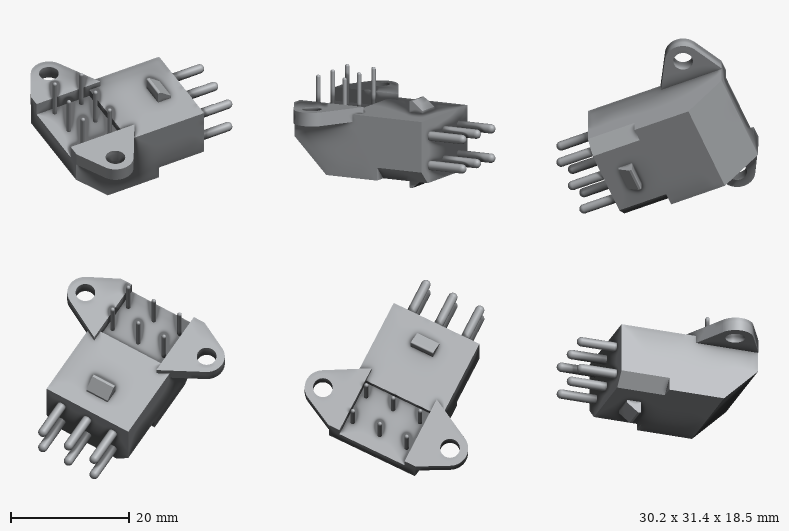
import cadquery as cq
import math


pitch = 5.08
columns = (-pitch, 0, pitch)

body_width = 16.2
body_length = 24.48
body_height = 10.96
body_top = 1.32
body_bottom = body_top - body_height
body_middle = (body_top + body_bottom) / 2
recess_back = 10.12
slope_size = 6.1
key_chamfer = 2.22
key_length = 8.56

board_pin_diameter = 0.76
board_pin_tip = 6.82
board_row_front = 2.92
board_rows = (board_row_front, board_row_front + pitch)

mating_pin_diameter = 1.6
mating_pin_tip = 31.4
mating_rows = (body_middle - pitch / 2, body_middle + pitch / 2)

ear_span = 30.18
ear_top = 2.36
ear_inner_x = 6.15
ear_front_x = 8.26
ear_back_y = 12.2
ear_hole_diameter = 3.33
ear_hole_x = 12.01
ear_hole_y = sum(board_rows) / 2
ear_radius = ear_span / 2 - ear_hole_x

latch_width = 4.2
latch_front = 18.87
latch_length = 2.49
latch_height = 2.03
latch_back_height = 0.5
latch_land = 0.53
latch_edge_radius = 0.2


def make_body():
    profile = [
        (0, 0),
        (recess_back, 0),
        (recess_back, body_top),
        (body_length, body_top),
        (body_length, body_bottom),
        (slope_size, body_bottom),
        (0, body_bottom + slope_size),
    ]
    return cq.Workplane("YZ").polyline(profile).close().extrude(body_width / 2, both=True)


def make_key_cut(side):
    edge_x = side * body_width / 2
    corner = [
        (edge_x, body_bottom),
        (edge_x - side * key_chamfer, body_bottom),
        (edge_x, body_bottom + key_chamfer),
    ]
    triangle = cq.Workplane("XZ", origin=(0, body_length, 0)).polyline(corner).close()
    return triangle.extrude(key_length)


def tangent_point(corner, turn):
    """Point where the line from a corner touches the rounded ear end; turn is +1 or -1."""
    dx = corner[0] - ear_hole_x
    dy = corner[1] - ear_hole_y
    angle = math.atan2(dy, dx) + turn * math.acos(ear_radius / math.hypot(dx, dy))
    return (ear_hole_x + ear_radius * math.cos(angle), ear_hole_y + ear_radius * math.sin(angle))


def make_ear():
    front_corner = (ear_front_x, 0)
    back_corner = (ear_inner_x, ear_back_y)
    outline = (
        cq.Workplane("XY")
        .moveTo(ear_inner_x, 0)
        .lineTo(*front_corner)
        .lineTo(*tangent_point(front_corner, 1))
        .threePointArc((ear_span / 2, ear_hole_y), tangent_point(back_corner, -1))
        .lineTo(*back_corner)
        .close()
    )
    hole = cq.Workplane("XY").center(ear_hole_x, ear_hole_y).circle(ear_hole_diameter / 2)
    return outline.extrude(ear_top).cut(hole.extrude(ear_top))


def make_latch():
    """Wedge on the top face: upright front with a rounded edge, ramp toward the mating end."""
    latch_back = latch_front + latch_length
    crest = body_top + latch_height
    profile = [
        (latch_front, body_middle),
        (latch_front, crest),
        (latch_front + latch_land, crest),
        (latch_back, body_top + latch_back_height),
        (latch_back, body_middle),
    ]
    wedge = cq.Workplane("YZ").polyline(profile).close().extrude(latch_width / 2, both=True)
    front_edge = cq.selectors.NearestToPointSelector((0, latch_front, crest))
    return wedge.edges(front_edge).fillet(latch_edge_radius)


def make_pin(base, direction, length, diameter):
    """Round pin with a hemispherical tip."""
    radius = diameter / 2
    shank_length = length - radius
    axis = cq.Vector(*direction)
    shank = cq.Solid.makeCylinder(radius, shank_length, cq.Vector(*base), axis)
    tip_center = cq.Vector(*base) + axis * shank_length
    tip = cq.Workplane("XY").sphere(radius).translate(tip_center)
    return cq.Workplane(obj=shank).union(tip)


result = make_body()
for side in (-1, 1):
    result = result.cut(make_key_cut(side))

ear = make_ear()
result = result.union(ear).union(ear.mirror("YZ"))

latch = make_latch()
result = result.union(latch).union(latch.mirror("XY", (0, 0, body_middle)))

for x in columns:
    for y in board_rows:
        result = result.union(make_pin((x, y, 0), (0, 0, 1), board_pin_tip, board_pin_diameter))
    for z in mating_rows:
        mating_pin_length = mating_pin_tip - body_length
        base = (x, body_length, z)
        result = result.union(make_pin(base, (0, 1, 0), mating_pin_length, mating_pin_diameter))